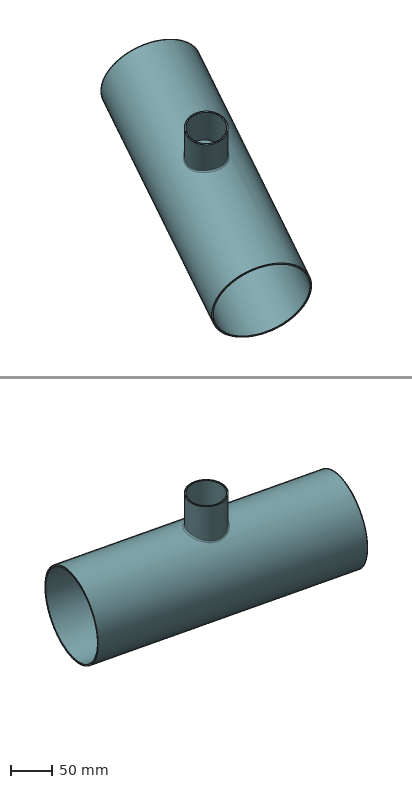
import cadquery as cq

pipe_length = 375.0
pipe_outer_diameter = 129.0
pipe_bore_diameter = 125.0

branch_outer_diameter = 53.0
branch_bore_diameter = 49.0
overall_height = 178.5
branch_top = overall_height - pipe_outer_diameter / 2

joint_fillet_radius = 2.0


def pipe_cylinder(diameter):
    """Cylinder over the full length of the main pipe."""
    return cq.Workplane("YZ").circle(diameter / 2).extrude(pipe_length / 2, both=True)


def branch_cylinder(diameter):
    """Vertical cylinder from the main pipe axis to the branch top."""
    return cq.Workplane("XY").circle(diameter / 2).extrude(branch_top)


outer_body = pipe_cylinder(pipe_outer_diameter).union(branch_cylinder(branch_outer_diameter))
seam = outer_body.edges("not (%CIRCLE or %LINE)")
outer_body = seam.fillet(joint_fillet_radius)

bores = pipe_cylinder(pipe_bore_diameter).union(branch_cylinder(branch_bore_diameter))

result = outer_body.cut(bores)